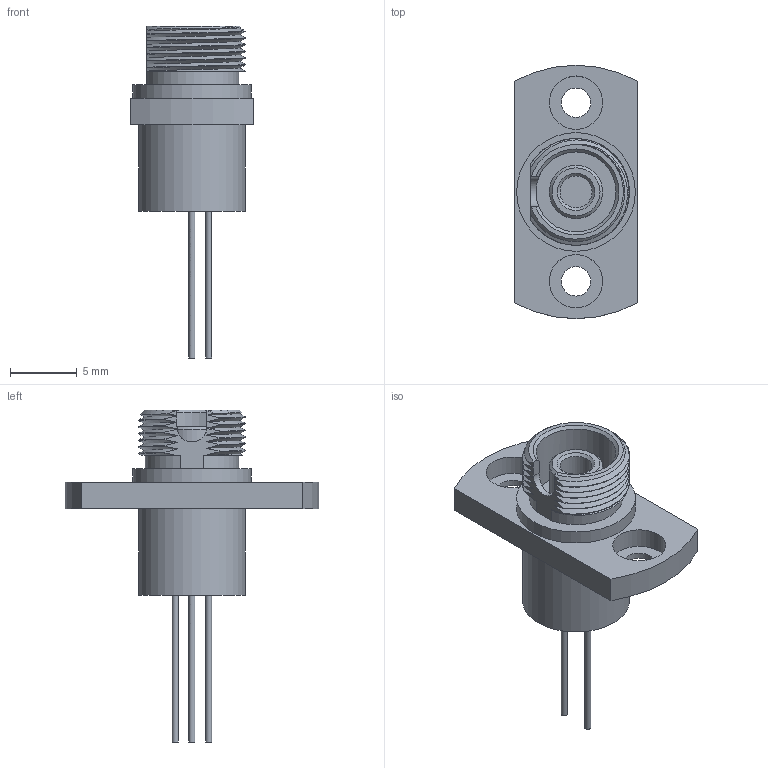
import cadquery as cq
import math

PLATE_THICKNESS = 1.98
COLLAR_HEIGHT = 1.02
NECK_HEIGHT = 1.0
THREAD_HEIGHT = 3.4
BODY_LENGTH = 6.5
PIN_LENGTH = 11.0
COLLAR_BOTTOM = PLATE_THICKNESS
NECK_BOTTOM = COLLAR_BOTTOM + COLLAR_HEIGHT
THREAD_BOTTOM = NECK_BOTTOM + NECK_HEIGHT
RIM = THREAD_BOTTOM + THREAD_HEIGHT
BODY_BOTTOM = -BODY_LENGTH

PLATE_WIDTH = 9.2
PLATE_END_RADIUS = 9.5
SCREW_OFFSET = 6.7
SCREW_HOLE_DIAMETER = 2.2
COUNTERBORE_DIAMETER = 4.0
COUNTERBORE_DEPTH = 1.5

BODY_RADIUS = 4.0
COLLAR_RADIUS = 4.45
NECK_RADIUS = 3.5

THREAD_RADIUS = 4.0
PITCH = 0.5
ROOT_RADIUS = 3.567
GROOVE_OVERSHOOT = 0.02
TURN_GAP = 0.01
LEAD_IN = 1.5 * PITCH
RIM_RADIUS = 3.55

SOCKET_RADIUS = 3.0
SOCKET_CHAMFER = 0.22
SLEEVE_RADIUS = 2.0
SLEEVE_BORE_RADIUS = 1.2
SLEEVE_RECESS = 1.25
SLEEVE_CHAMFER = 0.2
FLAT_OFFSET = 3.4
KEYWAY_WIDTH = 2.25
KEYWAY_DEPTH = 2.4

PIN_DIAMETER = 0.45
PIN_CIRCLE_RADIUS = 1.25
PIN_ANGLES = (-90, 0, 90)


def cylinder(radius, bottom, top):
    """Upright cylinder on the Z axis between two levels."""
    return cq.Workplane("XY").workplane(offset=bottom).circle(radius).extrude(top - bottom)


def make_plate():
    """Flat-sided plate with round ends and two counterbored screw holes."""
    half_width = PLATE_WIDTH / 2
    corner_y = math.sqrt(PLATE_END_RADIUS**2 - half_width**2)
    return (
        cq.Workplane("XY")
        .moveTo(-half_width, -corner_y)
        .threePointArc((0, -PLATE_END_RADIUS), (half_width, -corner_y))
        .lineTo(half_width, corner_y)
        .threePointArc((0, PLATE_END_RADIUS), (-half_width, corner_y))
        .close()
        .extrude(PLATE_THICKNESS)
        .faces(">Z")
        .workplane(origin=(0, 0, PLATE_THICKNESS))
        .pushPoints([(0, -SCREW_OFFSET), (0, SCREW_OFFSET)])
        .cboreHole(SCREW_HOLE_DIAMETER, COUNTERBORE_DIAMETER, COUNTERBORE_DEPTH)
    )


def make_thread():
    """Right-hand V thread cut into a cylinder with a chamfered rim."""
    mouth_radius = THREAD_RADIUS + GROOVE_OVERSHOOT
    half_mouth = (PITCH - TURN_GAP) / 2
    start = THREAD_BOTTOM - LEAD_IN
    helix = cq.Wire.makeHelix(
        PITCH, THREAD_HEIGHT + 2 * LEAD_IN, ROOT_RADIUS, center=cq.Vector(0, 0, start)
    )
    groove = (
        cq.Workplane("XZ")
        .moveTo(ROOT_RADIUS, start)
        .lineTo(mouth_radius, start - half_mouth)
        .lineTo(mouth_radius, start + half_mouth)
        .close()
        .sweep(cq.Workplane(obj=helix), isFrenet=True)
    )
    blank = cylinder(THREAD_RADIUS, THREAD_BOTTOM, RIM)
    return blank.faces(">Z").chamfer(THREAD_RADIUS - RIM_RADIUS).cut(groove)


def cut_flat(barrel):
    """Flat on the -X side of the threaded barrel."""
    size = 2 * COLLAR_RADIUS
    flat = cq.Workplane("XY").box(size, size, size, centered=(True, True, False))
    return barrel.cut(flat.translate((-FLAT_OFFSET - size / 2, 0, NECK_BOTTOM)))


def cut_socket(barrel):
    """Open socket down to the collar, with a chamfered mouth."""
    socket = cylinder(SOCKET_RADIUS, NECK_BOTTOM, RIM)
    mouth = (
        cq.Workplane("XY")
        .workplane(offset=RIM)
        .circle(SOCKET_RADIUS + SOCKET_CHAMFER)
        .extrude(-SOCKET_CHAMFER, taper=45)
    )
    return barrel.cut(socket).cut(mouth)


def cut_keyway(barrel):
    """Round-bottomed keyway through the -X wall."""
    radius = KEYWAY_WIDTH / 2
    centre_z = RIM - KEYWAY_DEPTH + radius
    keyway = (
        cq.Workplane("YZ")
        .moveTo(-radius, RIM)
        .lineTo(-radius, centre_z)
        .threePointArc((0, centre_z - radius), (radius, centre_z))
        .lineTo(radius, RIM)
        .close()
        .extrude(-THREAD_RADIUS)
    )
    return barrel.cut(keyway)


def make_sleeve():
    """Central sleeve with both top edges chamfered."""
    return (
        cq.Workplane("XY")
        .workplane(offset=NECK_BOTTOM)
        .circle(SLEEVE_RADIUS)
        .circle(SLEEVE_BORE_RADIUS)
        .extrude(RIM - SLEEVE_RECESS - NECK_BOTTOM)
        .faces(">Z")
        .chamfer(SLEEVE_CHAMFER)
    )


def make_pin(angle):
    """Round lead hanging below the body, at the given angle on the pin circle."""
    x = PIN_CIRCLE_RADIUS * math.cos(math.radians(angle))
    y = PIN_CIRCLE_RADIUS * math.sin(math.radians(angle))
    return cylinder(PIN_DIAMETER / 2, BODY_BOTTOM - PIN_LENGTH, BODY_BOTTOM).translate((x, y, 0))


barrel = make_thread().union(cylinder(NECK_RADIUS, NECK_BOTTOM, THREAD_BOTTOM))
barrel = cut_keyway(cut_socket(cut_flat(barrel)))

result = make_plate().union(cylinder(BODY_RADIUS, BODY_BOTTOM, 0))
result = result.union(cylinder(COLLAR_RADIUS, COLLAR_BOTTOM, NECK_BOTTOM))
result = result.union(barrel).union(make_sleeve())
for pin_angle in PIN_ANGLES:
    result = result.union(make_pin(pin_angle))